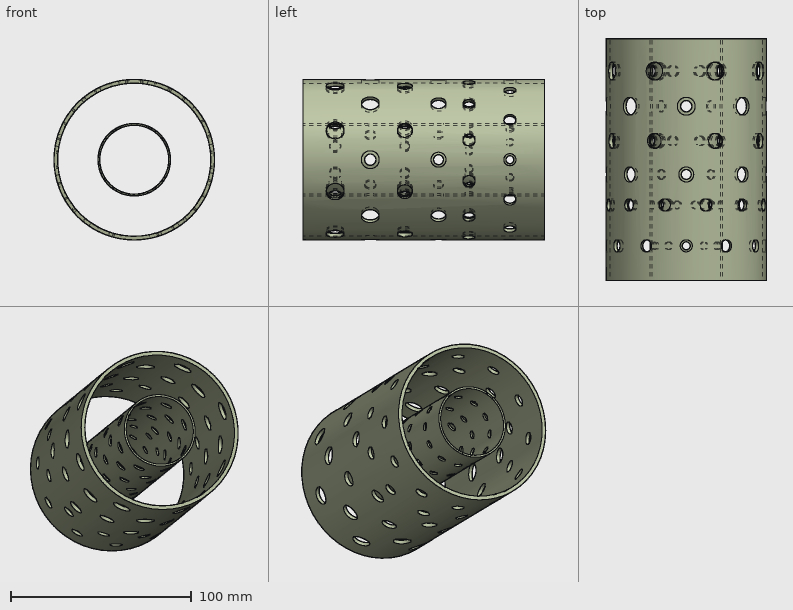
import cadquery as cq

TUBE_LENGTH = 133.8
SHELL_DIAMETER = 88.8
SHELL_WALL = 2.1
CORE_DIAMETER = 40.1
CORE_WALL = 1.1

STAGGER_OF_8 = 21.5
STAGGER_OF_12 = 14.3

SHELL_HOLE_SMALL = 6.7
SHELL_HOLE_MEDIUM = 8.3
SHELL_HOLE_LARGE = 9.9
CORE_HOLE_SMALL = 4.3
CORE_HOLE_MEDIUM = 5.4
CORE_HOLE_LARGE = 6.2

HOLE_RINGS = [
    (19.3, 12, 0, SHELL_HOLE_SMALL, CORE_HOLE_SMALL),
    (41.9, 12, STAGGER_OF_12, SHELL_HOLE_SMALL, CORE_HOLE_SMALL),
    (58.7, 8, 0, SHELL_HOLE_MEDIUM, CORE_HOLE_MEDIUM),
    (77.3, 8, STAGGER_OF_8, SHELL_HOLE_MEDIUM, CORE_HOLE_MEDIUM),
    (96.5, 8, 0, SHELL_HOLE_LARGE, CORE_HOLE_LARGE),
    (115.9, 8, STAGGER_OF_8, SHELL_HOLE_LARGE, CORE_HOLE_LARGE),
]


def make_tube(outer_diameter, wall):
    """Plain tube from Y = 0 to Y = TUBE_LENGTH."""
    outer_radius = outer_diameter / 2
    return cq.Workplane("XZ").circle(outer_radius).circle(outer_radius - wall).extrude(-TUBE_LENGTH)


def drill_ring(tube, outer_diameter, station, count, first_angle, hole_diameter):
    """Drill one ring of evenly spaced radial holes through the wall of a tube."""
    drill = cq.Workplane("XY").center(0, station).circle(hole_diameter / 2).extrude(outer_diameter)
    for index in range(count):
        angle = first_angle + index * 360 / count
        tube = tube.cut(drill.rotate((0, 0, 0), (0, 1, 0), angle))
    return tube


def make_shell():
    """Large outer tube with the wider holes."""
    tube = make_tube(SHELL_DIAMETER, SHELL_WALL)
    for station, count, first_angle, shell_hole, _ in HOLE_RINGS:
        tube = drill_ring(tube, SHELL_DIAMETER, station, count, first_angle, shell_hole)
    return tube


def make_core():
    """Small inner tube with the narrower holes."""
    tube = make_tube(CORE_DIAMETER, CORE_WALL)
    for station, count, first_angle, _, core_hole in HOLE_RINGS:
        tube = drill_ring(tube, CORE_DIAMETER, station, count, first_angle, core_hole)
    return tube


shell = make_shell()
core = make_core()

result = cq.Compound.makeCompound([shell.val(), core.val()])